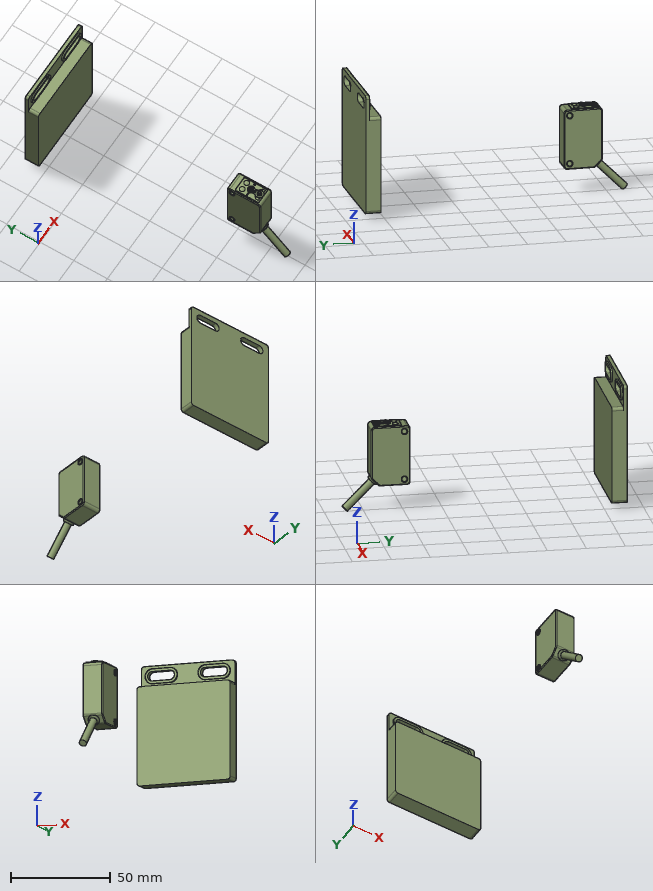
import cadquery as cq
import math


reflector_width = 51.0
reflector_height = 62.3
reflector_depth = 8.0
block_height = 51.0
flange_thickness = 2.0
reflector_corner_radius = 1.5
slot_length = 14.6
slot_width = 4.8
slot_offset_x = 14.5
slot_drop = 5.4
rim_wall = 1.4
rim_height = 0.9

sensor_width = 11.0
sensor_depth = 20.0
sensor_height = 31.3
sensor_back_y = -107.7
sensor_bottom_z = 9.6
sensor_corner_radius = 1.7
sensor_edge_chamfer = 0.5
outlet_chamfer = 4.1
outlet_edge_radius = 1.4
mount_hole_diameter = 2.5
mount_hole_mouth_diameter = 3.3
mount_hole_mouth_depth = 0.4
mount_hole_inset = 3.0

panel_width = 8.9
panel_length = 14.0
panel_height = 0.4
panel_setback = 4.3
panel_corner_radius = 0.7
lamp_diameter = 3.0
lamp_height = 0.5
lamp_offset_x = 2.1
lamp_setback = 7.1
control_height = 0.4
adjuster_diameter = 3.8
adjuster_setback = 11.0
selector_diameter = 4.5
selector_setback = 16.0
driver_recess_diameter = 2.5
driver_recess_depth = 0.1
driver_slot_width = 0.5
indicator_diameter = 1.0
indicator_offset_x = 3.4
pointer_reach = 3.8
pointer_width = 0.4
guard_height = 0.1
guard_half_width = 3.4
guard_shoulder_half_width = 2.3
guard_tab_half_width = 1.4
guard_front_setback = 17.4
guard_side_setback = 16.0
guard_shoulder_setback = 14.9
guard_tab_setback = 13.0

cable_diameter = 3.8
cable_tip_y = -141.7
collar_diameter = 5.8
collar_length = 1.3
collar_edge_radius = 0.5

sensor_front_y = sensor_back_y - sensor_depth
sensor_top_z = sensor_bottom_z + sensor_height
panel_top_z = sensor_top_z + panel_height


def standing_plate(height, depth):
    """Upright plate with its back on Y = 0 and its four corners rounded."""
    return (
        cq.Workplane("XY")
        .box(reflector_width, depth, height, centered=(True, False, False))
        .translate((0, -depth, 0))
        .edges("|Y")
        .fillet(reflector_corner_radius)
    )


def flange_slot(length, width, depth):
    """Both upright obround prisms, reaching from Y = 0 to Y = -depth."""
    return (
        cq.Workplane("XZ", origin=(0, 0, reflector_height - slot_drop))
        .pushPoints([(-slot_offset_x, 0), (slot_offset_x, 0)])
        .slot2D(length, width)
        .extrude(depth)
    )


def make_reflector():
    plate = standing_plate(reflector_height, flange_thickness)
    block = standing_plate(block_height, reflector_depth)
    rim_depth = flange_thickness + rim_height
    rims = flange_slot(slot_length + 2 * rim_wall, slot_width + 2 * rim_wall, rim_depth)
    slots = flange_slot(slot_length, slot_width, rim_depth)
    return plate.union(block).union(rims).cut(slots)


def make_housing():
    """Box with rounded corners and a slanted lower front corner, chamfered round both sides."""
    housing = (
        cq.Workplane("YZ", origin=(-sensor_width / 2, 0, 0))
        .moveTo(sensor_back_y, sensor_bottom_z)
        .lineTo(sensor_back_y, sensor_top_z)
        .lineTo(sensor_front_y, sensor_top_z)
        .lineTo(sensor_front_y, sensor_bottom_z + outlet_chamfer)
        .lineTo(sensor_front_y + outlet_chamfer, sensor_bottom_z)
        .close()
        .extrude(sensor_width)
    )
    housing = housing.edges("|X and >Z").fillet(sensor_corner_radius)
    housing = housing.edges("|X and <Z and >Y").fillet(sensor_corner_radius)
    outlet_edges = cq.selectors.BoxSelector(
        (-sensor_width, sensor_front_y - outlet_chamfer, sensor_bottom_z - outlet_chamfer),
        (sensor_width, sensor_front_y + 2 * outlet_chamfer, sensor_bottom_z + 2 * outlet_chamfer),
    )
    housing = housing.edges("|X").edges(outlet_edges).fillet(outlet_edge_radius)
    return housing.faces("<X or >X").chamfer(sensor_edge_chamfer)


def mounting_holes():
    """Two cross holes near the back, counterbored at each end."""
    hole_y = sensor_back_y - mount_hole_inset
    hole_heights = (sensor_bottom_z + mount_hole_inset, sensor_top_z - mount_hole_inset)
    side_plane = cq.Workplane("YZ", origin=(-sensor_width / 2, 0, 0))
    centers = side_plane.pushPoints([(hole_y, z) for z in hole_heights])
    holes = centers.circle(mount_hole_diameter / 2).extrude(sensor_width)
    mouth = centers.circle(mount_hole_mouth_diameter / 2).extrude(mount_hole_mouth_depth)
    return holes.union(mouth).union(mouth.mirror("YZ"))


def on_panel(x, setback):
    """Workplane on the panel top, at a distance in front of the sensor's back."""
    return cq.Workplane("XY", origin=(x, sensor_back_y - setback, panel_top_z))


def lamp(x):
    """Ball sunk into the panel so that only a shallow dome shows."""
    ball_radius = ((lamp_diameter / 2) ** 2 + lamp_height**2) / (2 * lamp_height)
    center = (x, sensor_back_y - lamp_setback, panel_top_z + lamp_height - ball_radius)
    return cq.Workplane("YZ").sphere(ball_radius).translate(center)


def driver_knob(diameter, setback):
    """Raised disc with a round recess and a deeper cross slot for a screwdriver."""
    disc = on_panel(0, setback).circle(diameter / 2).extrude(control_height)
    recess_floor = control_height - driver_recess_depth
    recess = on_panel(0, setback).workplane(offset=recess_floor)
    disc = disc.cut(recess.circle(driver_recess_diameter / 2).extrude(driver_recess_depth))
    slot = on_panel(0, setback).rect(driver_recess_diameter, driver_slot_width).extrude(control_height)
    cross_slot = on_panel(0, setback).rect(driver_slot_width, driver_recess_diameter).extrude(control_height)
    return disc.cut(slot).cut(cross_slot)


def adjuster():
    """Knob with a pointer bar on its left."""
    knob = driver_knob(adjuster_diameter, adjuster_setback)
    pointer_inner = (adjuster_diameter + driver_recess_diameter) / 4
    pointer_length = pointer_reach - pointer_inner
    pointer = on_panel(-pointer_inner - pointer_length / 2, adjuster_setback)
    pointer = pointer.rect(pointer_length, pointer_width).extrude(control_height)
    return knob.union(pointer)


def indicator():
    """Small round light level with the adjuster."""
    light = on_panel(indicator_offset_x, adjuster_setback)
    return light.circle(indicator_diameter / 2).extrude(control_height)


def selector():
    """Knob standing on a low guard plate with sloped shoulders and a tab at its back."""
    guard = (
        on_panel(0, 0)
        .moveTo(0, -guard_front_setback)
        .lineTo(guard_half_width, -guard_front_setback)
        .lineTo(guard_half_width, -guard_side_setback)
        .lineTo(guard_shoulder_half_width, -guard_shoulder_setback)
        .lineTo(guard_tab_half_width, -guard_shoulder_setback)
        .lineTo(guard_tab_half_width, -guard_tab_setback)
        .lineTo(0, -guard_tab_setback)
        .mirrorY()
        .extrude(guard_height)
    )
    return guard.union(driver_knob(selector_diameter, selector_setback))


def make_panel():
    panel = (
        cq.Workplane("XY", origin=(0, sensor_back_y - panel_setback - panel_length / 2, sensor_top_z))
        .rect(panel_width, panel_length)
        .extrude(panel_height)
        .edges("|Z")
        .fillet(panel_corner_radius)
    )
    for side in (-1, 1):
        panel = panel.union(lamp(side * lamp_offset_x))
    return panel.union(adjuster()).union(indicator()).union(selector())


def make_cable():
    """Collar and round cable, leaving the slanted corner at right angles, down and forwards."""
    outlet = (0, sensor_front_y + outlet_chamfer / 2, sensor_bottom_z + outlet_chamfer / 2)
    tip_center_y = cable_tip_y + cable_diameter / 2 * math.sin(math.pi / 4)
    cable_length = (outlet[1] - tip_center_y) * math.sqrt(2)
    outlet_plane = cq.Plane(origin=outlet, xDir=(1, 0, 0), normal=(0, -1, -1))
    collar = cq.Workplane(outlet_plane).circle(collar_diameter / 2).extrude(collar_length)
    collar = collar.faces(cq.selectors.DirectionMinMaxSelector(outlet_plane.zDir)).edges()
    collar = collar.fillet(collar_edge_radius)
    cable = cq.Workplane(outlet_plane).circle(cable_diameter / 2).extrude(cable_length)
    return collar.union(cable)


def make_sensor():
    housing = make_housing().cut(mounting_holes())
    return housing.union(make_panel()).union(make_cable())


reflector = make_reflector()
sensor = make_sensor()

result = cq.Compound.makeCompound([reflector.val(), sensor.val()])